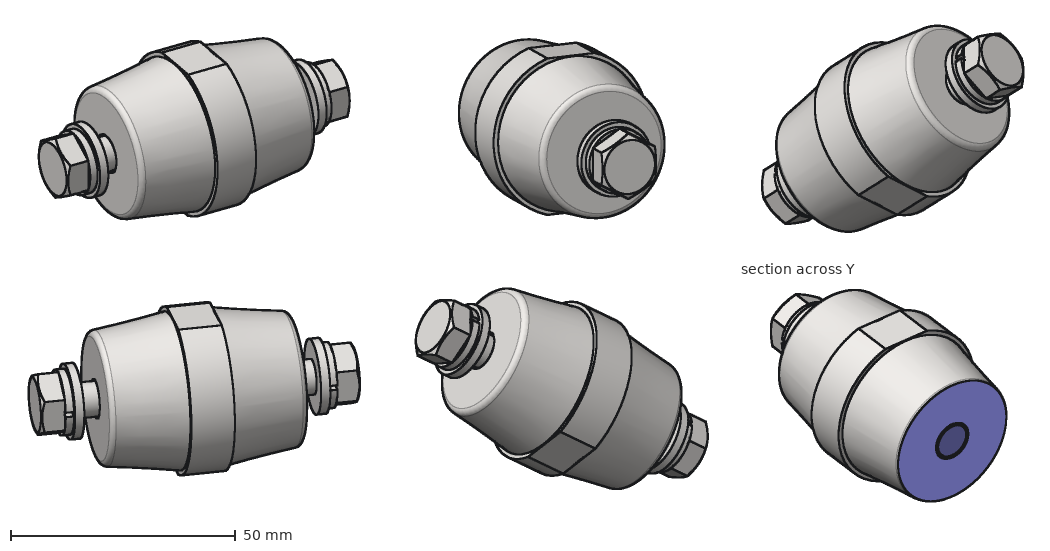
import cadquery as cq
import math


belt_diameter = 37.85
belt_width = 9.9
belt_flat_spacing = 36.0
insulator_length = 45.1
barrel_root_radius = 17.8
barrel_end_radius = 15.2
barrel_hollow = 0.15
barrel_end_fillet = 1.4
clearance_diameter = 8.9
clearance_depth = 1.45

overall_length = 72.8
head_height = 5.4
head_across_flats = 13.1
head_face_diameter = 12.4
head_chamfer_angle = 30.0
hex_half_sector = 180.0 / 6
spring_washer_diameter = 14.85
spring_washer_thickness = 1.9
spring_gap_height = 1.1
spring_gap_floor = -0.1
flat_washer_diameter = 17.0
flat_washer_thickness = 2.1
shank_diameter = 8.0
shank_engagement = 10.9

insulator_end = insulator_length / 2
head_end = overall_length / 2
head_seat = head_end - head_height
spring_washer_seat = head_seat - spring_washer_thickness
flat_washer_seat = spring_washer_seat - flat_washer_thickness
shank_end = insulator_end - shank_engagement

axis_start = (0, 0, 0)
axis_end = (0, 1, 0)


def plane_at(y):
    """Work plane across the axis at the given y, with its normal along +Y."""
    return cq.Workplane(cq.Plane(origin=(0, y, 0), xDir=(1, 0, 0), normal=(0, 1, 0)))


def disc(diameter, start, end):
    return plane_at(start).circle(diameter / 2).extrude(end - start)


def mirrored(body):
    return body.mirror("XZ")


def make_barrel_half():
    """Slightly hollow-sided taper on the +Y side, with a rounded outer rim."""
    chord_slope = math.atan2(barrel_root_radius - barrel_end_radius, insulator_end - belt_width / 2)
    hollow_point = (
        (barrel_root_radius + barrel_end_radius) / 2 - barrel_hollow * math.cos(chord_slope),
        (insulator_end + belt_width / 2) / 2 - barrel_hollow * math.sin(chord_slope),
    )
    barrel = (
        cq.Workplane("XY")
        .lineTo(barrel_root_radius, 0)
        .lineTo(barrel_root_radius, belt_width / 2)
        .threePointArc(hollow_point, (barrel_end_radius, insulator_end))
        .lineTo(0, insulator_end)
        .close()
        .revolve(360, axis_start, axis_end)
    )
    return barrel.faces(">Y").edges().fillet(barrel_end_fillet)


def make_belt():
    """Middle band with a flat on its top and bottom."""
    belt = disc(belt_diameter, -belt_width / 2, belt_width / 2)
    return belt.intersect(cq.Workplane("XY").box(belt_diameter, belt_width, belt_flat_spacing))


def make_insulator():
    """Solid body with a blind screw hole in each end, widened at its mouth."""
    barrel_half = make_barrel_half()
    body = make_belt().union(barrel_half).union(mirrored(barrel_half))
    screw_hole = disc(shank_diameter, shank_end, insulator_end)
    clearance = disc(clearance_diameter, insulator_end - clearance_depth, insulator_end)
    stepped_hole = screw_hole.union(clearance)
    return body.cut(stepped_hole).cut(mirrored(stepped_hole))


def make_hex_head():
    """Hex head with corners up and down, chamfered by a cone at its outer face."""
    across_corners = head_across_flats / math.cos(math.radians(hex_half_sector))
    hexagon = plane_at(head_seat).transformed(rotate=(0, 0, hex_half_sector)).polygon(6, across_corners)
    face_radius = head_face_diameter / 2
    cone_radius = face_radius + head_height / math.tan(math.radians(head_chamfer_angle))
    cone = (
        cq.Workplane("XY")
        .moveTo(0, head_seat)
        .lineTo(cone_radius, head_seat)
        .lineTo(face_radius, head_end)
        .lineTo(0, head_end)
        .close()
        .revolve(360, axis_start, axis_end)
    )
    return hexagon.extrude(head_height).intersect(cone)


def make_spring_washer():
    """Ring with a V-shaped split on its -X side that narrows down to the shank."""
    outer_x = -spring_washer_diameter / 2
    ring = disc(spring_washer_diameter, spring_washer_seat, head_seat)
    gap = (
        cq.Workplane("XZ", origin=(0, spring_washer_seat, 0))
        .moveTo(-shank_diameter / 2, spring_gap_floor)
        .lineTo(outer_x, spring_gap_floor)
        .lineTo(outer_x, spring_gap_floor + spring_gap_height)
        .close()
        .extrude(-spring_washer_thickness)
    )
    return ring.cut(gap)


def make_screw_unit():
    shank = disc(shank_diameter, shank_end, head_seat)
    flat_washer = disc(flat_washer_diameter, flat_washer_seat, spring_washer_seat)
    return shank.union(flat_washer).union(make_spring_washer()).union(make_hex_head())


insulator = make_insulator()
screw_unit = make_screw_unit()
screw_units = [screw_unit, mirrored(screw_unit)]

result = cq.Compound.makeCompound([insulator.val(), *[unit.val() for unit in screw_units]])